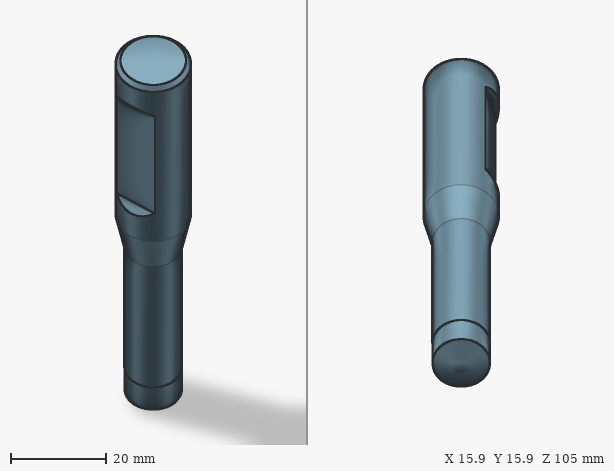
import cadquery as cq
import math

total_length = 105.0

shank_diameter = 15.9
shank_bottom = 57.0
top_chamfer = 1.0

neck_diameter = 12.2
neck_top = 47.0

tip_bottom_diameter = 12.1
tip_top = 9.2
point_angle = 140.0

flat_depth = 1.7
flat_bottom = 65.8
flat_top = 96.2

shank_radius = shank_diameter / 2
neck_radius = neck_diameter / 2
tip_bottom_radius = tip_bottom_diameter / 2
point_height = tip_bottom_radius / math.tan(math.radians(point_angle / 2))


def make_flat_cutter():
    """Trapezoidal prism along X that leaves the flat and its sloping ends."""
    flat_y = flat_depth - shank_radius
    outer_y = flat_y - 2 * flat_depth
    end_run = flat_y - outer_y
    return (
        cq.Workplane("YZ")
        .moveTo(flat_y, flat_bottom)
        .lineTo(flat_y, flat_top)
        .lineTo(outer_y, flat_top + end_run)
        .lineTo(outer_y, flat_bottom - end_run)
        .close()
        .extrude(shank_radius, both=True)
    )


def make_holder():
    """Shank, cone and neck as one turned body, with the clamping flat cut in."""
    turned = (
        cq.Workplane("XZ")
        .moveTo(0, tip_top)
        .lineTo(neck_radius, tip_top)
        .lineTo(neck_radius, neck_top)
        .lineTo(shank_radius, shank_bottom)
        .lineTo(shank_radius, total_length - top_chamfer)
        .lineTo(shank_radius - top_chamfer, total_length)
        .lineTo(0, total_length)
        .close()
        .revolve(360, (0, 0), (0, 1))
    )
    return turned.cut(make_flat_cutter())


def make_tip():
    """Tapered round tip, flush with the neck at its top, with a conical point."""
    return (
        cq.Workplane("XZ")
        .moveTo(0, 0)
        .lineTo(tip_bottom_radius, point_height)
        .lineTo(neck_radius, tip_top)
        .lineTo(0, tip_top)
        .close()
        .revolve(360, (0, 0), (0, 1))
    )


holder = make_holder()
tip = make_tip()

result = cq.Compound.makeCompound([holder.val(), tip.val()])